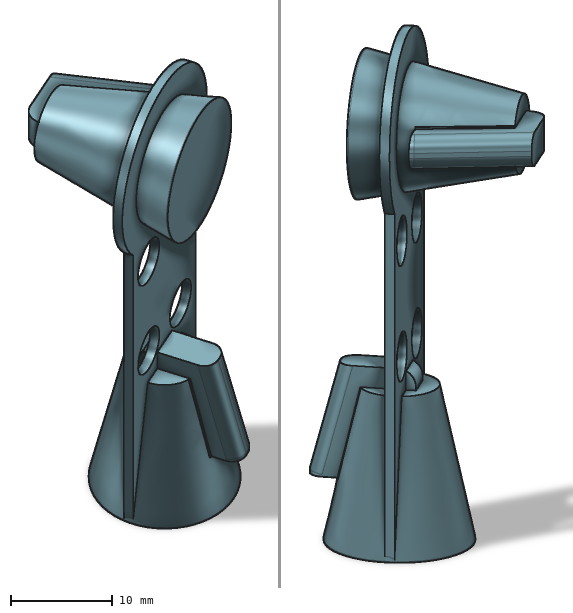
import cadquery as cq
import math

total_height = 52.85
head_diameter = 19.95
strip_width = 14.8
plate_thickness = 1.0
head_center_z = total_height - head_diameter / 2

hole_diameter = 5.0
hole_half_spacing = 3.75
hole_rows_z = (20.25, 32.2)

cup_tip_diameter = 8.0
cup_base_diameter = 15.0
cup_length = 16.1
rim_height = 0.15
upper_cup_base_x = 3.8

hook_width = 3.5
hook_thickness = 2.15
hook_back = 2.0
hook_back_radius = 1.8
hook_reach = 8.95
hook_drop = 9.55
hook_lip_height = 0.5
hook_lean_degrees = 15
hook_edge_radius = 1.5

pad_width = 3.9
pad_tip_reach = 3.55
pad_end_reach = 5.85


def make_plate():
    """Strip and round head in one thickness, with the four holes cut through."""
    workplane = cq.Workplane("YZ")
    strip = workplane.center(0, head_center_z / 2).rect(strip_width, head_center_z).extrude(-plate_thickness)
    head = workplane.center(0, head_center_z).circle(head_diameter / 2).extrude(-plate_thickness)
    hole_centers = [(side * hole_half_spacing, z) for side in (-1, 1) for z in hole_rows_z]
    holes = workplane.pushPoints(hole_centers).circle(hole_diameter / 2).extrude(-plate_thickness)
    return strip.union(head).cut(holes)


def make_cup():
    """Solid cup standing on its wide end, with its axis on Z."""
    base_radius = cup_base_diameter / 2
    return (
        cq.Workplane("XZ")
        .lineTo(base_radius, 0)
        .lineTo(base_radius, rim_height)
        .lineTo(cup_tip_diameter / 2, cup_length)
        .lineTo(0, cup_length)
        .close()
        .revolve(360, (0, 0), (0, 1))
    )


def make_hook():
    """Hook in the XZ plane of an upright cup, reaching out toward +X."""
    top_z = cup_length + hook_thickness
    end_z = cup_length - hook_drop
    lip_z = end_z + hook_lip_height
    lean = math.tan(math.radians(hook_lean_degrees))
    shoulder_x = hook_reach - (top_z - lip_z) * lean
    hook = (
        cq.Workplane("XZ")
        .moveTo(0, end_z)
        .lineTo(hook_reach, end_z)
        .lineTo(hook_reach, lip_z)
        .lineTo(shoulder_x, top_z)
        .lineTo(hook_back_radius - hook_back, top_z)
        .radiusArc((-hook_back, top_z - hook_back_radius), -hook_back_radius)
        .lineTo(-hook_back, cup_length)
        .lineTo(0, cup_length)
        .close()
        .extrude(hook_width / 2, both=True)
    )

    slope_middle_x = (shoulder_x + hook_reach) / 2
    slope_middle_z = (top_z + lip_z) / 2
    lip_middle_z = (lip_z + end_z) / 2
    selectors = [
        cq.selectors.NearestToPointSelector((x, side * hook_width / 2, z))
        for side in (-1, 1)
        for x, z in ((slope_middle_x, slope_middle_z), (hook_reach, lip_middle_z))
    ]
    outer_edges = selectors[0] + selectors[1] + selectors[2] + selectors[3]
    return hook.edges(outer_edges).fillet(hook_edge_radius)


def make_pad():
    """Flat-faced pad that seats the hook on the side of the cup."""
    end_z = cup_length - hook_drop
    return (
        cq.Workplane("XZ")
        .moveTo(0, end_z)
        .lineTo(pad_end_reach, end_z)
        .lineTo(pad_tip_reach, cup_length)
        .lineTo(0, cup_length)
        .close()
        .extrude(pad_width / 2, both=True)
    )


lower_cup = make_cup().union(make_pad()).union(make_hook())

upper_cup_plane = cq.Plane(origin=(upper_cup_base_x, 0, head_center_z), xDir=(0, 1, 0), normal=(-1, 0, 0))
upper_cup = cq.Workplane(obj=lower_cup.val().moved(upper_cup_plane.location))

result = make_plate().union(lower_cup).union(upper_cup)